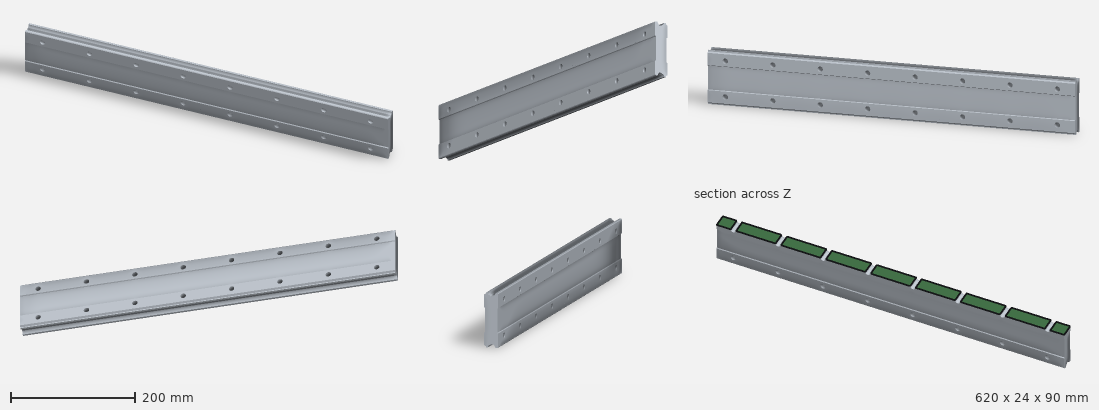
import cadquery as cq
import math

length = 620.0
thickness = 24.0
height = 90.0

hole_diameter = 9.0
hole_pitch = 80.0
hole_count = 8
hole_row_spacing = 60.0

recess_depth = 1.5
recess_floor_height = 40.0
recess_shoulder = 1.0

ledge_width = 3.1
ledge_outer_drop = 3.5
ledge_inner_drop = 1.7
lip_width = 3.3

back_wall_radius = 4.0
back_wall_sweep = 62.0
shelf_width = 1.3
shelf_slope = 16.0
groove_depth = 5.5
groove_floor_front_y = -4.2
front_wall_angle = 58.7

front_chamfer = 1.0

half_thickness = thickness / 2
half_height = height / 2
lip_outer_y = half_thickness - ledge_width
lip_inner_y = lip_outer_y - lip_width


def recess_points(side):
    """Points (y, z) from the recess floor up its shoulder; side is +1 at the back, -1 at the front."""
    floor_point = (side * (half_thickness - recess_depth), recess_floor_height / 2)
    shoulder_point = (side * half_thickness, recess_floor_height / 2 + recess_shoulder)
    return [floor_point, shoulder_point]


def back_wall_point(sweep):
    """Point (y, z) on the concave back wall, at an angle in degrees below the lip."""
    center_y = lip_inner_y - back_wall_radius
    angle = math.radians(sweep)
    return (
        center_y + back_wall_radius * math.cos(angle),
        half_height - back_wall_radius * math.sin(angle),
    )


def ledge_and_lip_points():
    """Points (y, z) from the back face over the ledge and the lip to the groove."""
    return [
        (half_thickness, half_height - ledge_outer_drop),
        (lip_outer_y, half_height - ledge_inner_drop),
        (lip_outer_y, half_height),
        (lip_inner_y, half_height),
    ]


def groove_and_front_points():
    """Points (y, z) from the foot of the shelf over the groove floor to the front face."""
    shelf_back_y, shelf_back_z = back_wall_point(back_wall_sweep)
    shelf_front_y = shelf_back_y - shelf_width
    shelf_front_z = shelf_back_z - shelf_width * math.tan(math.radians(shelf_slope))
    floor_z = half_height - groove_depth
    floor_back_y = shelf_front_y - (shelf_front_z - floor_z)
    front_wall_width = groove_depth / math.tan(math.radians(front_wall_angle))
    return [
        (shelf_front_y, shelf_front_z),
        (floor_back_y, floor_z),
        (groove_floor_front_y, floor_z),
        (groove_floor_front_y - front_wall_width, half_height),
        (front_chamfer - half_thickness, half_height),
        (-half_thickness, half_height - front_chamfer),
    ]


def make_upper_half():
    """Extrude the half of the section above Z = 0."""
    back_recess = recess_points(1)
    front_recess = recess_points(-1)[::-1]
    outline = cq.Workplane("YZ").moveTo(back_recess[0][0], 0)
    for y, z in back_recess + ledge_and_lip_points():
        outline = outline.lineTo(y, z)
    outline = outline.threePointArc(back_wall_point(back_wall_sweep / 2), back_wall_point(back_wall_sweep))
    for y, z in groove_and_front_points() + front_recess:
        outline = outline.lineTo(y, z)
    return outline.lineTo(front_recess[-1][0], 0).close().extrude(length / 2, both=True)


def make_bar():
    """Join the upper half with its mirror image below."""
    upper = make_upper_half()
    return upper.union(upper.mirror("XY")).clean()


def make_holes():
    """Cylinders for both rows of holes, longer than the bar is thick."""
    return (
        cq.Workplane("XZ")
        .rarray(hole_pitch, hole_row_spacing, hole_count, 2)
        .circle(hole_diameter / 2)
        .extrude(thickness, both=True)
    )


result = make_bar().cut(make_holes())